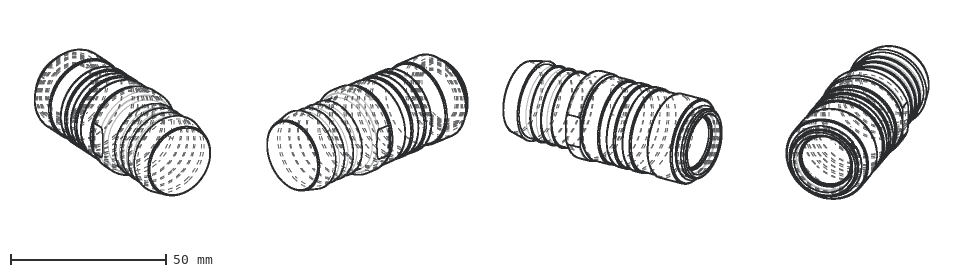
import cadquery as cq
import math

total_length = 69.0
edge_chamfer = 0.5

nose_radius = 23.0 / 2
shoulder_x = 3.55

ring_wire_radius = 0.75
ring_x = 2.25
groove_radius = 21.6 / 2
groove_width = 2 * ring_wire_radius
ring_radius = groove_radius + ring_wire_radius
ring_gap_angle = 8.0
ring_gap_direction = 36.5

sleeve_radius = 27.0 / 2
band_radius = 28.0 / 2
band_chamfer = 0.4
front_band_end = 12.9
rib_start = 19.15
rib_width = 3.3
rib_pitch = 6.0
rib_count = 2
rear_band_start = rib_start + rib_count * rib_pitch
rear_band_end = 37.75
neck_radius = 26.0 / 2

collar_start = 38.5
collar_end = 44.0
collar_radius = 29.0 / 2
across_flats = 27.0
collar_chamfer_angle = 15.0
collar_round = 1.0

tail_radius = 24.5 / 2
tail_fillet = 1.0
barb_start = 50.0
barb_pitch = 4.0
barb_length = 2.0
barb_count = 3
barb_height = 0.5
end_barb_start = 62.5
end_barb_radius = 26.5 / 2
end_radius = 23.0 / 2
end_chamfer = 0.4

mouth_radius = 20.0 / 2
cone_angle = 60.0
cone_root_round = 0.3
cone_end_radius = 18.1 / 2
lip_radius = 17.5 / 2
cone_end_depth = 2.5
lip_end_depth = 2.65
bore_radius = 16.95 / 2
bore_depth = 3.4


def turned(outline):
    """Revolve a closed outline in the XY plane about the X axis."""
    return outline.close().revolve(360, (0, 0, 0), (1, 0, 0))


def grip_band(start, end):
    """Raised grip band, chamfered on both rims."""
    return (
        cq.Workplane("YZ", origin=(start, 0, 0))
        .circle(band_radius)
        .extrude(end - start)
        .faces("<X or >X")
        .chamfer(band_chamfer)
    )


def sleeve():
    """Nose, grip sleeve and neck up to the wrench collar."""
    core = turned(
        cq.Workplane("XY")
        .moveTo(0, 0)
        .lineTo(0, nose_radius - edge_chamfer)
        .lineTo(edge_chamfer, nose_radius)
        .lineTo(shoulder_x, nose_radius)
        .lineTo(shoulder_x, sleeve_radius)
        .lineTo(rear_band_start + band_chamfer, sleeve_radius)
        .lineTo(rear_band_start + band_chamfer, neck_radius)
        .lineTo(collar_start, neck_radius)
        .lineTo(collar_start, 0)
    )
    core = core.union(grip_band(shoulder_x, front_band_end))
    for index in range(rib_count):
        start = rib_start + index * rib_pitch
        core = core.union(grip_band(start, start + rib_width))
    return core.union(grip_band(rear_band_start, rear_band_end))


def wrench_collar():
    """Round collar with two flats, blended into the hose tail behind it."""
    collar_rim = collar_radius - edge_chamfer * math.tan(math.radians(collar_chamfer_angle))
    diagonal = math.sqrt(0.5)
    round_x = collar_end - collar_round
    round_y = collar_radius - collar_round
    fillet_x = collar_end + tail_fillet
    fillet_y = tail_radius + tail_fillet
    collar = turned(
        cq.Workplane("XY")
        .moveTo(collar_start, 0)
        .lineTo(collar_start, collar_rim)
        .lineTo(collar_start + edge_chamfer, collar_radius)
        .lineTo(round_x, collar_radius)
        .threePointArc(
            (round_x + collar_round * diagonal, round_y + collar_round * diagonal),
            (collar_end, round_y),
        )
        .lineTo(collar_end, fillet_y)
        .threePointArc(
            (fillet_x - tail_fillet * diagonal, fillet_y - tail_fillet * diagonal),
            (fillet_x, tail_radius),
        )
        .lineTo(fillet_x, 0)
    )
    length = fillet_x - collar_start
    flats = cq.Workplane("XY").box(length, across_flats, 2 * collar_radius)
    return collar.intersect(flats.translate((collar_start + length / 2, 0, 0)))


def hose_tail():
    """Barbed hose tail with a larger tapered barb at its end."""
    outline = cq.Workplane("XY").moveTo(collar_end, 0).lineTo(collar_end, tail_radius)
    for index in range(barb_count):
        start = barb_start + index * barb_pitch
        outline = (
            outline.lineTo(start, tail_radius)
            .lineTo(start, tail_radius + barb_height)
            .lineTo(start + barb_length, tail_radius)
        )
    return turned(
        outline.lineTo(end_barb_start, tail_radius)
        .lineTo(end_barb_start, end_barb_radius)
        .lineTo(total_length - end_chamfer, end_radius + end_chamfer)
        .lineTo(total_length, end_radius)
        .lineTo(total_length, 0)
    )


def nose_bore():
    """Blind stepped bore that opens at the nose."""
    slope = math.radians(cone_angle)
    root_x = cone_end_depth - (mouth_radius - cone_end_radius) / math.tan(slope)
    round_start = root_x - cone_root_round * math.tan(slope / 2)
    round_y = mouth_radius - cone_root_round

    def on_round(angle):
        return (
            round_start + cone_root_round * math.sin(angle),
            round_y + cone_root_round * math.cos(angle),
        )

    return turned(
        cq.Workplane("XY")
        .moveTo(0, 0)
        .lineTo(0, mouth_radius)
        .lineTo(round_start, mouth_radius)
        .threePointArc(on_round(slope / 2), on_round(slope))
        .lineTo(cone_end_depth, cone_end_radius)
        .lineTo(cone_end_depth, lip_radius)
        .lineTo(lip_end_depth, lip_radius)
        .lineTo(lip_end_depth, bore_radius)
        .lineTo(bore_depth, bore_radius)
        .lineTo(bore_depth, 0)
    )


def ring_groove():
    """Groove around the nose that seats the snap ring."""
    return (
        cq.Workplane("YZ", origin=(ring_x - groove_width / 2, 0, 0))
        .circle(nose_radius)
        .circle(groove_radius)
        .extrude(groove_width)
    )


def make_coupling():
    body = sleeve().union(wrench_collar()).union(hose_tail())
    return body.cut(nose_bore()).cut(ring_groove())


def make_snap_ring():
    """Round-wire ring, open by a small gap."""
    ring = (
        cq.Workplane("XY")
        .center(ring_x, -ring_radius)
        .circle(ring_wire_radius)
        .revolve(360 - ring_gap_angle, (0, ring_radius, 0), (1, ring_radius, 0))
    )
    return ring.rotate((0, 0, 0), (1, 0, 0), -ring_gap_direction + ring_gap_angle / 2)


coupling = make_coupling()
snap_ring = make_snap_ring()

result = cq.Compound.makeCompound([coupling.val(), snap_ring.val()])